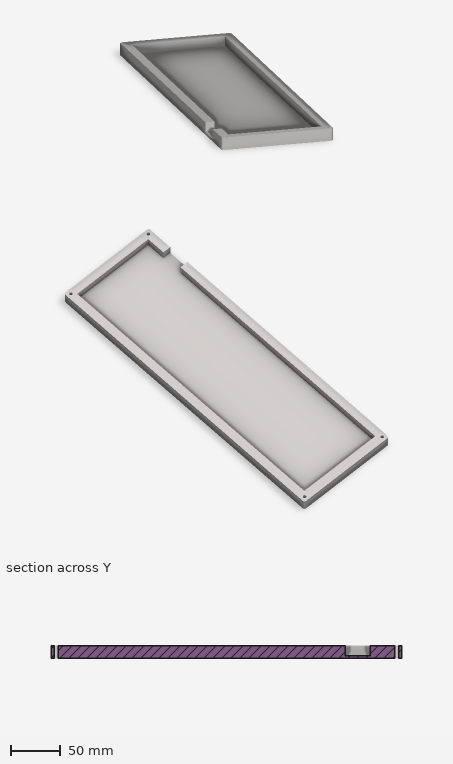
import cadquery as cq

length = 352.5
width = 117.0
height = 13.0
corner_radius = 2.0

pocket_length = 332.8
pocket_width = 98.0
left_rim_width = 10.2
floor_thickness = 3.0
pocket_depth = height - floor_thickness
front_rim_width = (width - pocket_width) / 2

gap_width = 25.0
gap_to_right_end = 31.7

hole_diameter = 3.5
hole_inset = 5.0


def upright_box(size_x, size_y, size_z):
    """Box centred on the Z axis and standing on the base plane."""
    return cq.Workplane("XY").box(size_x, size_y, size_z, centered=(True, True, False))


def make_body():
    """Solid plate with rounded vertical corners."""
    return upright_box(length, width, height).edges("|Z").fillet(corner_radius)


def make_pocket():
    """Volume removed from above, leaving the floor and the rim."""
    pocket_center_x = -length / 2 + left_rim_width + pocket_length / 2
    pocket = upright_box(pocket_length, pocket_width, pocket_depth)
    return pocket.translate((pocket_center_x, 0, floor_thickness))


def make_rim_gap():
    """Volume that opens the front rim from the outside into the pocket."""
    gap_center_x = length / 2 - gap_to_right_end - gap_width / 2
    gap = upright_box(gap_width, 2 * front_rim_width, pocket_depth)
    return gap.translate((gap_center_x, -width / 2, floor_thickness))


def make_corner_holes():
    """Four cylinders running through the full height."""
    hole_spacing_x = length - 2 * hole_inset
    hole_spacing_y = width - 2 * hole_inset
    hole_pattern = cq.Workplane("XY").rect(hole_spacing_x, hole_spacing_y, forConstruction=True)
    return hole_pattern.vertices().circle(hole_diameter / 2).extrude(height)


result = make_body().cut(make_pocket()).cut(make_rim_gap()).cut(make_corner_holes())